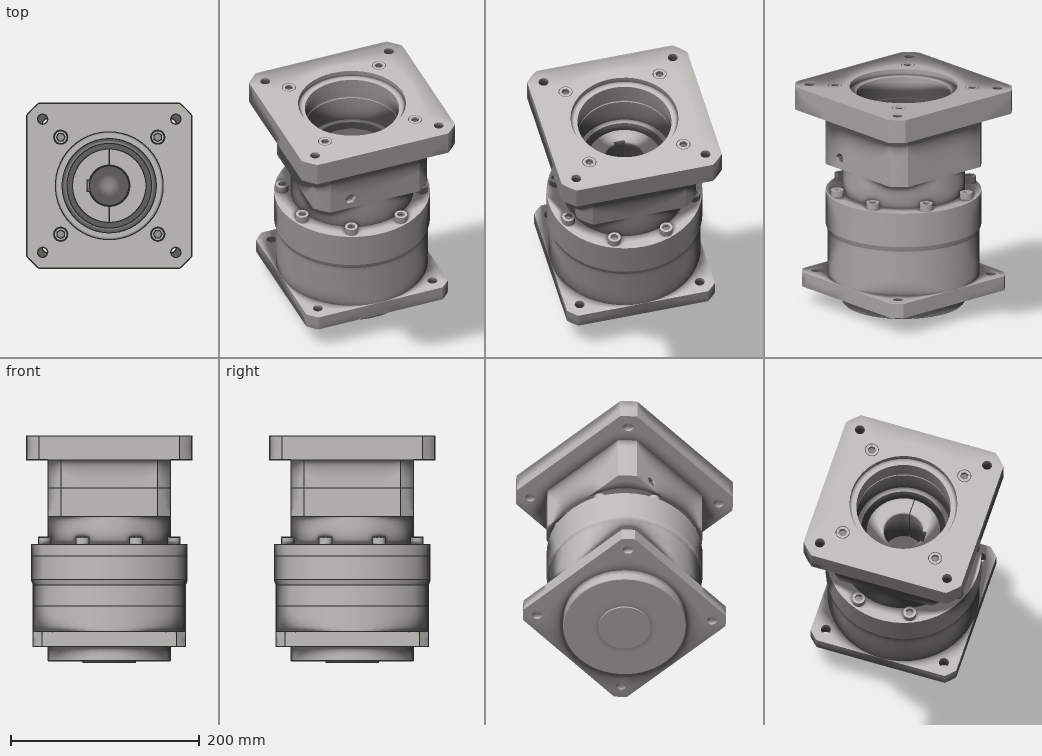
import cadquery as cq
import math

z_top = 240.0
z_flange_bottom = 214.5
z_adapter = 185.0
z_block_bottom = 154.8
z_collar_top = 125.0
z_ring_top = 113.0
z_cone_top = 87.8
z_cone_bottom = 82.3
z_ring_bottom = 60.0
z_plate_top = 32.6
z_plate_bottom = 16.8
z_pilot_bottom = 1.7

flange_width = 175.0
flange_corner_radius = 115.0
block_width = 130.0
body_radius = 82.5
neck_radius = block_width / 2
barrel_radius = 80.6
plate_width = 161.5
plate_corner_radius = 107.5
pilot_chamfer = 0.7
output_boss_radius = 27.8

flange_hole_offset = 70.5
plate_hole_offset = 65.5
mounting_hole_radius = 5.3

pilot_recess_radius = 57.0
pilot_recess_depth = 6.5
motor_bore_radius = 50.0
motor_bore_bottom = 181.5
bore_groove_radius = 53.5
bore_groove_bottom = 209.5
bore_groove_height = 2.2
hub_well_radius = 45.0

hub_radius = 39.0
hub_top = 177.4
hub_bore_radius = 21.0
hub_bore_chamfer = 1.0
hub_floor = z_collar_top
slot_width = 1.0
keyway_width = 12.0
keyway_depth = 28.8
keyway_reach = 23.8

head_radius = 6.7
head_height = 7.7
socket_width = 8.0
socket_depth = 4.0
flange_screw_offset = 51.4
screw_recess_radius = 7.5
screw_recess_depth = 8.5
collar_screw_count = 8
collar_screw_circle = 74.0

plug_y = 28.0
plug_z = 166.8
plug_radius = 8.2
plug_length = 14.5
plug_socket_width = 10.0
plug_socket_depth = 6.0
socket_tip_half_angle = 60.0


def cylinder(radius, bottom, top, x=0.0, y=0.0):
    return cq.Workplane("XY", origin=(x, y, bottom)).circle(radius).extrude(top - bottom)


def rounded_square(width, corner_radius, bottom, top):
    """Square plate whose corners lie on a circle around the axis."""
    square = cq.Workplane("XY", origin=(0, 0, bottom)).rect(width, width).extrude(top - bottom)
    return square.intersect(cylinder(corner_radius, bottom, top))


def corner_points(offset):
    return [(sx * offset, sy * offset) for sx in (-1, 1) for sy in (-1, 1)]


def corner_holes(offset, bottom, top):
    holes = cq.Workplane("XY", origin=(0, 0, bottom)).pushPoints(corner_points(offset))
    return holes.circle(mounting_hole_radius).extrude(top - bottom)


def hexagon_diameter(across_flats):
    return across_flats / math.cos(math.pi / 6)


def screw_head(x, y, bottom, top, turn=0.0):
    """Cylindrical head with a hexagon socket, turned about its own axis."""
    socket = (
        cq.Workplane("XY", origin=(0, 0, top - socket_depth))
        .polygon(6, hexagon_diameter(socket_width))
        .extrude(socket_depth)
        .rotate((0, 0, 0), (0, 0, 1), turn)
        .translate((x, y, 0))
    )
    return cylinder(head_radius, bottom, top, x, y).cut(socket)


def make_motor_adapter():
    adapter = rounded_square(flange_width, flange_corner_radius, z_flange_bottom, z_top)
    adapter = adapter.union(rounded_square(block_width, body_radius, z_adapter, z_flange_bottom))
    adapter = adapter.cut(cylinder(pilot_recess_radius, z_top - pilot_recess_depth, z_top))
    adapter = adapter.cut(cylinder(motor_bore_radius, z_adapter, z_top))
    groove_top = bore_groove_bottom + bore_groove_height
    adapter = adapter.cut(cylinder(bore_groove_radius, bore_groove_bottom, groove_top))
    adapter = adapter.cut(corner_holes(flange_hole_offset, z_flange_bottom, z_top))
    recess_floor = z_top - screw_recess_depth
    for x, y in corner_points(flange_screw_offset):
        turn = 0 if x * y < 0 else 90
        adapter = adapter.cut(cylinder(screw_recess_radius, recess_floor, z_top, x, y))
        adapter = adapter.union(screw_head(x, y, recess_floor, z_top, turn))
    return adapter


def make_clamping_hub():
    hub = cylinder(hub_radius, hub_floor, hub_top)
    hub = hub.cut(cylinder(hub_bore_radius, hub_floor, hub_top))
    hub = hub.edges("%CIRCLE").edges(">Z").edges(cq.selectors.RadiusNthSelector(0)).chamfer(hub_bore_chamfer)
    depth = hub_top - hub_floor
    cutter = cq.Workplane("XY", origin=(0, 0, hub_floor))
    hub = hub.cut(cutter.rect(slot_width, 2 * hub_radius).extrude(depth))
    keyway = (
        cq.Workplane("XY", origin=(-keyway_reach / 2, 0, hub_top - keyway_depth))
        .rect(keyway_reach, keyway_width)
        .extrude(keyway_depth)
    )
    return hub.cut(keyway)


def make_plug_blank():
    face = cq.Workplane("YZ", origin=(-block_width / 2, plug_y, plug_z))
    return face.circle(plug_radius).extrude(plug_length)


def make_input_housing():
    housing = cylinder(body_radius, z_ring_top, z_collar_top)
    housing = housing.union(cylinder(neck_radius, z_collar_top, z_block_bottom))
    housing = housing.union(rounded_square(block_width, body_radius, z_block_bottom, z_adapter))
    housing = housing.cut(cylinder(motor_bore_radius, motor_bore_bottom, z_adapter))
    housing = housing.cut(cylinder(hub_well_radius, hub_floor, z_adapter))
    housing = housing.union(make_clamping_hub())
    for i in range(collar_screw_count):
        angle = 360 / collar_screw_count * (i + 0.5)
        x = collar_screw_circle * math.cos(math.radians(angle))
        y = collar_screw_circle * math.sin(math.radians(angle))
        housing = housing.union(screw_head(x, y, z_collar_top, z_collar_top + head_height, angle))
    return housing.cut(make_plug_blank())


def make_access_plug():
    """Flush plug with a hexagon socket that ends in a drill point."""
    face_x = -block_width / 2
    socket = (
        cq.Workplane("YZ", origin=(face_x, plug_y, plug_z))
        .polygon(6, hexagon_diameter(plug_socket_width))
        .extrude(plug_socket_depth)
    )
    tip_radius = plug_socket_width / 2
    tip_height = tip_radius / math.tan(math.radians(socket_tip_half_angle))
    tip = cq.Solid.makeCone(
        tip_radius, 0, tip_height,
        pnt=cq.Vector(face_x + plug_socket_depth, plug_y, plug_z), dir=cq.Vector(1, 0, 0),
    )
    return make_plug_blank().cut(socket).cut(cq.Workplane(tip))


def make_gear_ring():
    outline = [
        (0, z_ring_bottom),
        (barrel_radius, z_ring_bottom),
        (barrel_radius, z_cone_bottom),
        (body_radius, z_cone_top),
        (body_radius, z_ring_top),
        (0, z_ring_top),
    ]
    return cq.Workplane("XZ").polyline(outline).close().revolve(360, (0, 0), (0, 1))


def make_output_housing():
    housing = cylinder(neck_radius, z_pilot_bottom, z_plate_bottom)
    housing = housing.faces("<Z").edges().chamfer(pilot_chamfer)
    housing = housing.union(cylinder(output_boss_radius, 0, z_pilot_bottom))
    housing = housing.union(cylinder(barrel_radius, z_plate_top, z_ring_bottom))
    plate = rounded_square(plate_width, plate_corner_radius, z_plate_bottom, z_plate_top)
    plate = plate.cut(corner_holes(plate_hole_offset, z_plate_bottom, z_plate_top))
    return housing.union(plate)


motor_adapter = make_motor_adapter()
input_housing = make_input_housing()
access_plug = make_access_plug()
gear_ring = make_gear_ring()
output_housing = make_output_housing()

result = cq.Compound.makeCompound([
    motor_adapter.val(),
    input_housing.val(),
    access_plug.val(),
    gear_ring.val(),
    output_housing.val(),
])